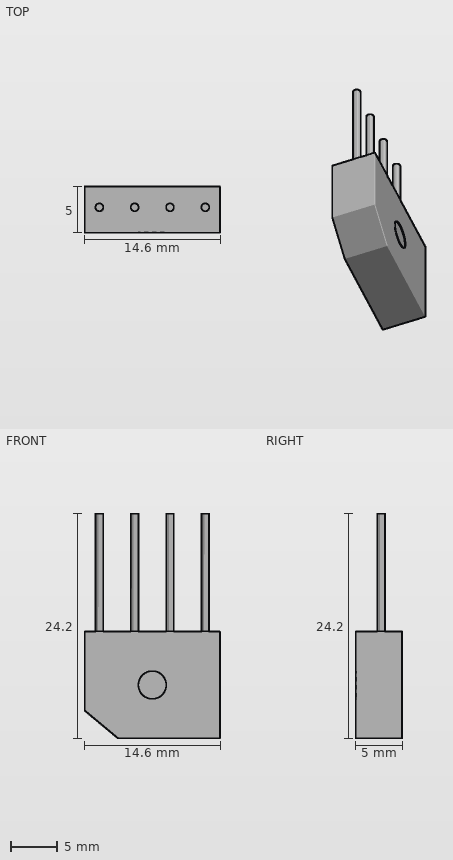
import cadquery as cq

body_width = 14.57
body_depth = 5.0
body_height = 11.52
corner_cut_width = 3.6
corner_cut_height = 3.0
edge_radius = 0.1

total_height = 24.2
lead_count = 4
lead_diameter = 0.85
lead_pitch = 3.8
lead_offset_y = 0.25

mark_diameter = 3.0
mark_depth = 0.1


def make_body():
    """Block with one bottom corner cut off and every edge rounded."""
    half_width = body_width / 2
    outline = [
        (-half_width + corner_cut_width, 0),
        (half_width, 0),
        (half_width, body_height),
        (-half_width, body_height),
        (-half_width, corner_cut_height),
    ]
    block = cq.Workplane("XZ").polyline(outline).close().extrude(body_depth / 2, both=True)
    return block.edges().fillet(edge_radius)


def make_mark():
    """Disc to remove from the -Y face."""
    return (
        cq.Workplane("XZ", origin=(0, -body_depth / 2, body_height / 2))
        .circle(mark_diameter / 2)
        .extrude(-mark_depth)
    )


def make_leads():
    """Row of equal leads along X."""
    first_x = -lead_pitch * (lead_count - 1) / 2
    centres = [(first_x + i * lead_pitch, lead_offset_y) for i in range(lead_count)]
    root_z = body_height / 2
    return (
        cq.Workplane("XY", origin=(0, 0, root_z))
        .pushPoints(centres)
        .circle(lead_diameter / 2)
        .extrude(total_height - root_z)
    )


result = make_body().cut(make_mark()).union(make_leads())